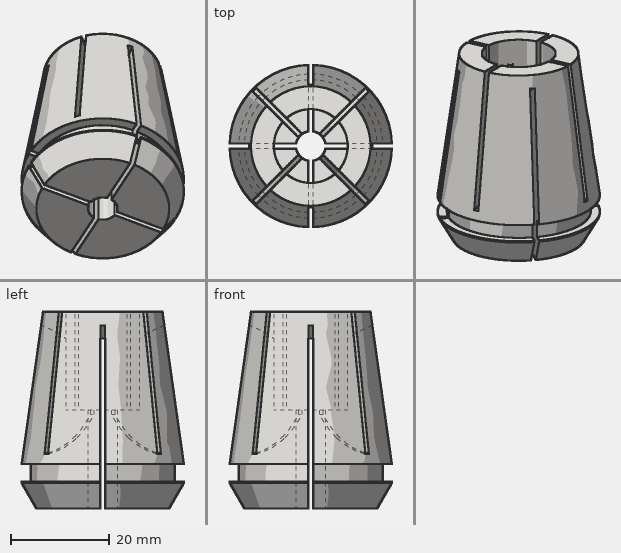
import cadquery as cq
import math

height = 40.0
max_radius = 16.5

taper_angle = 8.0
groove_top_z = 9.0

groove_radius = 14.65
collar_top_z = 5.5
collar_edge_height = 0.3
nose_angle = 30.0
nose_height = collar_top_z - collar_edge_height
nose_radius = max_radius - nose_height * math.tan(math.radians(nose_angle))

bore_radius = 3.0
counterbore_radius = 7.5
counterbore_depth = 20.0

slot_width = 1.0
saw_radius = 20.0
slots_per_end = 4
slot_spacing = 360.0 / slots_per_end
lower_slot_end_z = 37.2
upper_slot_end_z = 11.1
lower_slot_end_slope = 20.0
upper_slot_end_slope = 8.5


def outer_radius_at(z):
    """Radius of the taper at height z."""
    return max_radius - (z - groove_top_z) * math.tan(math.radians(taper_angle))


def make_body():
    """Solid of revolution: nose cone, collar edge, groove and long taper."""
    profile = (
        cq.Workplane("XZ")
        .lineTo(nose_radius, 0)
        .lineTo(max_radius, nose_height)
        .lineTo(max_radius, collar_top_z)
        .lineTo(groove_radius, collar_top_z)
        .lineTo(groove_radius, groove_top_z)
        .lineTo(max_radius, groove_top_z)
        .lineTo(outer_radius_at(height), height)
        .lineTo(0, height)
        .close()
    )
    return profile.revolve(360, (0, 0, 0), (0, 1, 0))


def make_bore():
    """Through bore with a wide counterbore from the top."""
    bore = cq.Workplane("XY").circle(bore_radius).extrude(height)
    counterbore = (
        cq.Workplane("XY")
        .workplane(offset=height - counterbore_depth)
        .circle(counterbore_radius)
        .extrude(counterbore_depth)
    )
    return bore.union(counterbore)


def make_slot(end_z, end_slope, open_z, angle):
    """Radial slot from the axis outward, open at open_z.

    Its arc end meets the taper at end_z, where the arc has the given slope
    in degrees, and steepens toward the axis. The saw disc is centred
    outside the body, so the slot reaches out past every outer surface.
    """
    side = math.copysign(1, open_z - end_z)
    end_radius = outer_radius_at(end_z)
    slope = math.radians(end_slope)
    centre_radius = end_radius + saw_radius * math.sin(slope)
    centre_z = end_z + side * saw_radius * math.cos(slope)

    def arc_z(radius):
        offset = radius - centre_radius
        return centre_z - side * math.sqrt(saw_radius**2 - offset**2)

    middle = centre_radius / 2
    slot = (
        cq.Workplane("XZ")
        .moveTo(0, open_z)
        .lineTo(0, arc_z(0))
        .threePointArc((middle, arc_z(middle)), (centre_radius, arc_z(centre_radius)))
        .lineTo(centre_radius, open_z)
        .close()
        .extrude(slot_width / 2, both=True)
    )
    return slot.rotate((0, 0, 0), (0, 0, 1), angle)


result = make_body().cut(make_bore())
for index in range(slots_per_end):
    lower_angle = index * slot_spacing
    upper_angle = lower_angle + slot_spacing / 2
    result = result.cut(make_slot(lower_slot_end_z, lower_slot_end_slope, 0, lower_angle))
    result = result.cut(make_slot(upper_slot_end_z, upper_slot_end_slope, height, upper_angle))